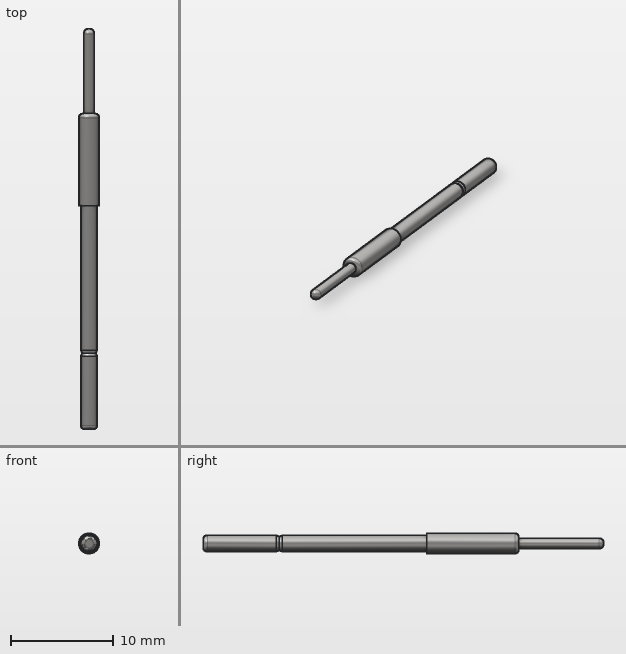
import cadquery as cq

total_length = 39.3
groove_start = 7.2
groove_width = 0.6
collar_start = 21.93
collar_end = 30.95

rod_radius = 0.805
collar_radius = 1.002
pin_radius = 0.53

tip_rounding = 0.5
end_rounding = 0.4
groove_depth = 0.1

groove_end = groove_start + groove_width
groove_middle = groove_start + groove_width / 2


def cylinder(radius, start, end):
    """Solid cylinder on the Y axis between two Y positions."""
    plane = cq.Workplane("XZ", origin=(0, start, 0))
    return plane.circle(radius).extrude(start - end)


def make_rod():
    """Long rod with a rounded front end and a shallow V-shaped ring groove."""
    rod = cylinder(rod_radius, 0, collar_start).faces("<Y").edges().fillet(end_rounding)
    groove = (
        cq.Workplane("XY")
        .moveTo(rod_radius, groove_start)
        .lineTo(rod_radius - groove_depth, groove_middle)
        .lineTo(rod_radius, groove_end)
        .close()
        .revolve(360, (0, 0, 0), (0, 1, 0))
    )
    return rod.cut(groove)


def make_collar():
    """Thick collar, rounded where the pin leaves it."""
    collar = cylinder(collar_radius, collar_start, collar_end)
    return collar.faces(">Y").edges().fillet(end_rounding)


def make_pin():
    """Thin pin with a nearly hemispherical tip."""
    pin = cylinder(pin_radius, collar_end, total_length)
    return pin.faces(">Y").edges().fillet(tip_rounding)


result = make_rod().union(make_collar()).union(make_pin())